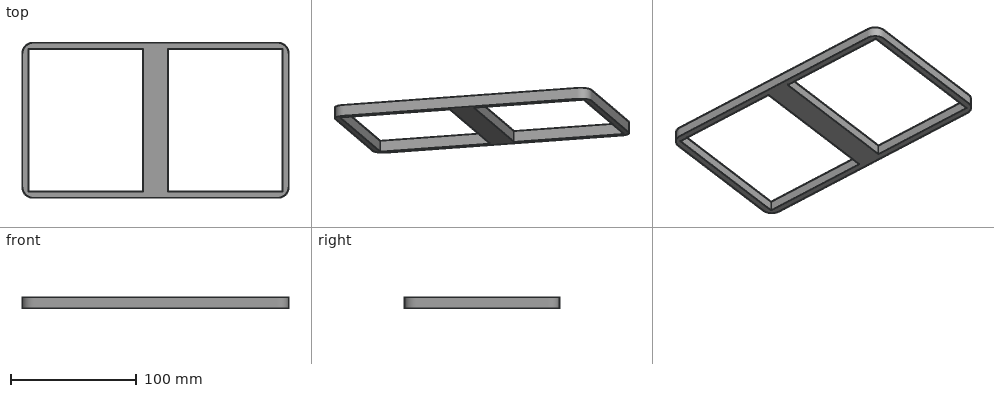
import cadquery as cq

length = 212.0
width = 123.5
height = 9.0
corner_radius = 9.0

end_wall = 5.0
side_wall = 5.3
crossbar_width = 20.0
window_length = (length - 2 * end_wall - crossbar_width) / 2
window_width = width - 2 * side_wall
window_offset = (crossbar_width + window_length) / 2

frame = cq.Workplane("XY").box(length, width, height).edges("|Z").fillet(corner_radius)

windows = (
    cq.Workplane("XY")
    .pushPoints([(-window_offset, 0), (window_offset, 0)])
    .box(window_length, window_width, height)
)

result = frame.cut(windows)